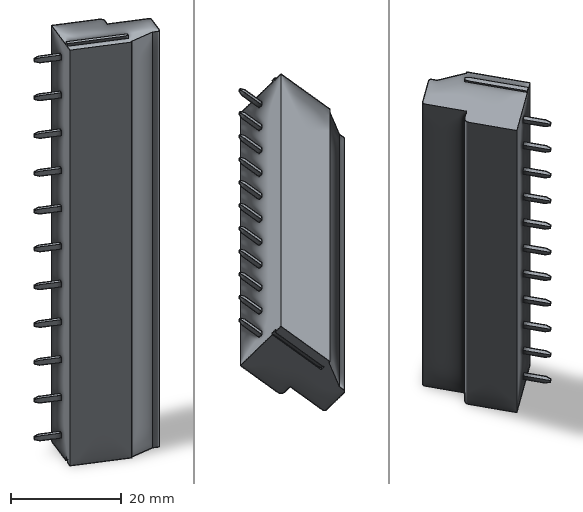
import cadquery as cq

pole_count = 11
pitch = 7.5
body_height = pole_count * pitch

body_width = 11.2
body_depth = 18.0
shoulder_width = 2.4
shoulder_depth = 9.8
shoulder_radius = 0.9
crown_right = 8.2
crown_wall = 1.5
crown_radius = 0.5
slope_right = 10.9
slope_foot_depth = 11.7

pin_length = 5.0
pin_width = 0.8
pin_height = 1.0
pin_tip_length = 0.9
pin_tip_width = 0.4
pin_tip_height = 0.5
pin_x = body_width / 2

rail_x = 9.2
rail_neck_width = 0.54
rail_head_width = 0.84
rail_height = 0.6
rail_length = 11.6
rail_lead_in = 0.8
groove_clearance = 0.1


def make_body():
    """Extrude the stepped cross-section and round its exposed corners."""
    outline = [
        (0, 0),
        (body_width, 0),
        (body_width, slope_foot_depth),
        (slope_right, slope_foot_depth),
        (crown_right, body_depth - crown_wall),
        (crown_right, body_depth),
        (shoulder_width, body_depth),
        (shoulder_width, shoulder_depth),
        (0, shoulder_depth),
    ]
    body = cq.Workplane("XY").polyline(outline).close().extrude(body_height)
    middle = body_height / 2
    shoulder_corner = cq.selectors.NearestToPointSelector((0, shoulder_depth, middle))
    body = body.edges(shoulder_corner).fillet(shoulder_radius)
    for corner_x in (shoulder_width, crown_right):
        crown_corner = cq.selectors.NearestToPointSelector((corner_x, body_depth, middle))
        body = body.edges(crown_corner).fillet(crown_radius)
    return body


def make_dovetail(base_z, clearance=0):
    """Dovetail bar along Y, narrow at base_z, with tapered inner end and side clearance."""
    neck = rail_neck_width / 2 + clearance
    head = rail_head_width / 2 + clearance
    section = [
        (rail_x - neck, base_z),
        (rail_x + neck, base_z),
        (rail_x + head, base_z + rail_height),
        (rail_x - head, base_z + rail_height),
    ]
    bar = cq.Workplane("XZ").polyline(section).close().extrude(-rail_length)
    plan = [
        (rail_x - head, 0),
        (rail_x + head, 0),
        (rail_x + head, rail_length - rail_lead_in),
        (rail_x + neck, rail_length),
        (rail_x - neck, rail_length),
        (rail_x - head, rail_length - rail_lead_in),
    ]
    base_plane = cq.Workplane("XY").workplane(offset=base_z)
    envelope = base_plane.polyline(plan).close().extrude(rail_height)
    return bar.intersect(envelope)


def make_pin(pin_z):
    """Rectangular pin pointing toward -Y with a tapered tip."""
    shank_length = pin_length - pin_tip_length
    shank = cq.Workplane("XZ").center(pin_x, pin_z).rect(pin_width, pin_height).extrude(shank_length)
    return (
        shank.faces("<Y")
        .workplane(centerOption="CenterOfMass")
        .rect(pin_width, pin_height)
        .workplane(offset=pin_tip_length)
        .rect(pin_tip_width, pin_tip_height)
        .loft(combine=True)
    )


result = make_body().union(make_dovetail(body_height))
result = result.cut(make_dovetail(0, groove_clearance))
for pole in range(pole_count):
    result = result.union(make_pin((pole + 0.5) * pitch))